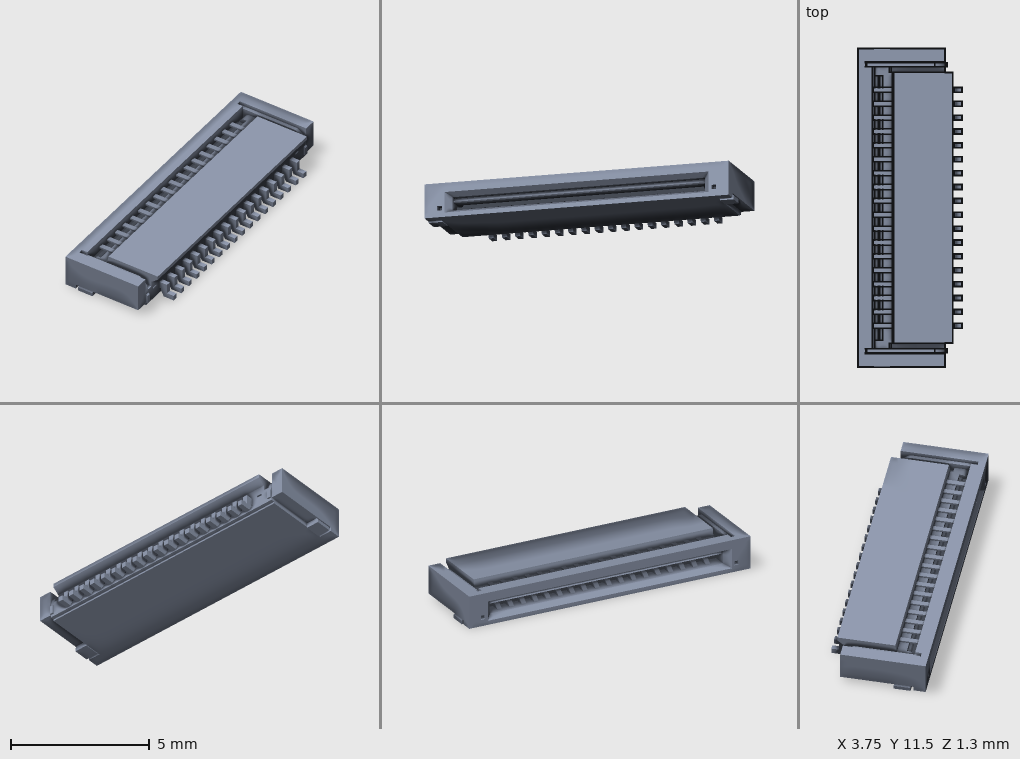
import cadquery as cq
import math

overall_length = 11.5
housing_length = 11.48
housing_depth = 3.14
housing_bottom = 0.03
housing_top = 1.3
half_length = housing_length / 2

front_wall = 0.52

relief_start = 0.45
relief_top = 0.21
relief_width = 0.51
rear_step_depth = 0.15
rear_step_top = 0.1

mouth_half_outer = 4.98
mouth_bottom_outer = 0.2
mouth_top_outer = 0.95
mouth_half = 4.76
mouth_bottom = 0.32
mouth_top = 0.82
mouth_flare = 0.29

stop_wall_start = 0.83
vent_inner = 4.54
vent_bottom = 0.56

shelf_bottom = 0.63
shelf_top = 1.0
tongue_tip = 0.38
tongue_tip_height = 0.67
tongue_underside_end = 0.45
tongue_flat_start = 0.6
tongue_top = 0.82
shelf_rise_start = 0.74
shelf_front = 0.79
shelf_strip_top = 0.87
shelf_strip_end = 0.89

channel_start = 1.13
channel_edge = 0.91
channel_flat_start = 1.2
channel_flat_floor = 0.84
channel_flat_end = 1.4
channel_slope_end = 2.12
channel_floor = 0.74

cover_half = 4.88
cover_foot = 1.23
cover_front = 1.29
cover_rear = 3.42
cover_lip_bottom = 1.15
cover_slope_bottom = 0.94

contact_count = 18
contact_span = 8.5
contact_pitch = contact_span / (contact_count - 1)
contact_width = 0.18
lead_end = 3.75
lead_knee_front = 3.21
lead_knee_rear = 3.46
lead_top = 0.59
foot_top = 0.21
foot_start = 3.32
lower_beam_start = 0.47
lower_beam_tip = 0.64
lower_beam_top = 0.46
upper_beam_start = 0.55
upper_beam_top = 1.07

clip_slot_inner = 5.08
clip_slot_outer = 5.25
clip_slot_start = 0.28
clip_outer = 5.22
clip_start = 0.31
clip_top = 1.18
clip_bend_start = 2.77
clip_bend_middle = (3.02, 0.99)
clip_bend_bottom = 0.59
clip_end = 3.21
clip_end_top = 0.55
clip_window_bottom = 0.29
clip_window_top = 0.45
clip_nose_tip = 0.23

tab_start = 0.55
tab_end = 1.17
tab_slope_bottom = 0.14
tab_slope_width = 0.06


def box(x0, x1, y0, y1, z0, z1):
    """Block between two opposite corners."""
    return cq.Workplane("XY").box(x1 - x0, y1 - y0, z1 - z0, centered=False).translate((x0, y0, z0))


def centred_box(x0, x1, half_width, z0, z1):
    """Block symmetric about the XZ plane."""
    return box(x0, x1, -half_width, half_width, z0, z1)


def side_sketch(y1):
    """Plane for X-Z outlines; a positive extrusion runs from y1 toward -Y."""
    return cq.Workplane("XZ", origin=(0, y1, 0))


def side_profile(points, y0, y1):
    """Straight-sided X-Z outline extruded from y0 to y1."""
    return side_sketch(y1).polyline(points).close().extrude(y1 - y0)


def both_ends(solid):
    """A +Y end feature together with its mirror image."""
    return solid.union(solid.mirror("XZ"))


def make_mouth():
    outer_height = mouth_top_outer - mouth_bottom_outer
    outer_centre = (mouth_top_outer + mouth_bottom_outer) / 2
    inner_height = mouth_top - mouth_bottom
    inner_centre = (mouth_top + mouth_bottom) / 2
    flare = (
        cq.Workplane("YZ")
        .center(0, outer_centre)
        .rect(2 * mouth_half_outer, outer_height)
        .workplane(offset=mouth_flare)
        .center(0, inner_centre - outer_centre)
        .rect(2 * mouth_half, inner_height)
        .loft()
    )
    return flare.union(centred_box(0, front_wall, mouth_half, mouth_bottom, mouth_top))


def make_housing():
    body = centred_box(0, housing_depth, half_length, housing_bottom, housing_top)
    top_opening = centred_box(front_wall, housing_depth, clip_slot_inner, mouth_bottom, housing_top)
    relief_inner = half_length - relief_width
    relief = box(relief_start, housing_depth, relief_inner, half_length, housing_bottom, relief_top)
    rear_step_start = housing_depth - rear_step_depth
    rear_step = centred_box(rear_step_start, housing_depth, half_length, housing_bottom, rear_step_top)
    return body.cut(top_opening).cut(make_mouth()).cut(both_ends(relief)).cut(rear_step)


def make_shelf():
    return side_profile(
        [
            (tongue_underside_end, shelf_bottom),
            (tongue_tip, tongue_tip_height),
            (tongue_flat_start, tongue_top),
            (shelf_rise_start, tongue_top),
            (shelf_front, shelf_strip_top),
            (shelf_strip_end, shelf_strip_top),
            (shelf_strip_end, shelf_top),
            (housing_depth, shelf_top),
            (housing_depth, shelf_bottom),
        ],
        -mouth_half,
        mouth_half,
    )


def make_stop_wall():
    full_height = centred_box(stop_wall_start, housing_depth, vent_inner, mouth_bottom, shelf_bottom)
    below_vents = centred_box(stop_wall_start, housing_depth, mouth_half, mouth_bottom, vent_bottom)
    return full_height.union(below_vents)


def make_shelf_ends():
    """Walls that close the cable space at each end, with a quarter-round drop to the tongue."""
    end_round = shelf_top - tongue_top
    round_start = shelf_front - end_round
    tongue_slope = (tongue_top - tongue_tip_height) / (tongue_flat_start - tongue_tip)
    wall_height = tongue_top - tongue_slope * (tongue_flat_start - front_wall)
    half_chord = math.sqrt(0.5)
    round_middle = (shelf_front - end_round * half_chord, tongue_top + end_round * half_chord)
    wall = (
        side_sketch(clip_slot_inner)
        .moveTo(front_wall, mouth_bottom)
        .lineTo(front_wall, wall_height)
        .lineTo(tongue_flat_start, tongue_top)
        .lineTo(round_start, tongue_top)
        .threePointArc(round_middle, (shelf_front, shelf_top))
        .lineTo(housing_depth, shelf_top)
        .lineTo(housing_depth, mouth_bottom)
        .close()
        .extrude(clip_slot_inner - mouth_half)
    )
    return both_ends(wall)


def make_side_channels():
    channel = side_profile(
        [
            (channel_start, shelf_top),
            (channel_start, channel_edge),
            (channel_flat_start, channel_flat_floor),
            (channel_flat_end, channel_flat_floor),
            (channel_slope_end, channel_floor),
            (housing_depth, channel_floor),
            (housing_depth, shelf_top),
        ],
        cover_half,
        clip_slot_inner,
    )
    return both_ends(channel)


def make_clip_slots():
    slot = box(clip_slot_start, housing_depth, clip_slot_inner, clip_slot_outer, relief_top, housing_top)
    window = box(0, clip_slot_start, clip_slot_inner, clip_slot_outer, clip_window_bottom, clip_window_top)
    return both_ends(slot.union(window))


def make_clips():
    nose_middle = (clip_window_bottom + clip_window_top) / 2
    blade = (
        side_sketch(clip_outer)
        .moveTo(clip_start, relief_top)
        .lineTo(clip_start, clip_window_bottom)
        .threePointArc((clip_nose_tip, nose_middle), (clip_start, clip_window_top))
        .lineTo(clip_start, clip_top)
        .lineTo(clip_bend_start, clip_top)
        .threePointArc(clip_bend_middle, (housing_depth, clip_bend_bottom))
        .lineTo(clip_end, clip_end_top)
        .lineTo(clip_end, relief_top)
        .close()
        .extrude(clip_outer - clip_slot_inner)
    )
    return both_ends(blade)


def make_tabs():
    tab_inner = half_length - relief_width
    tab_outer = overall_length / 2
    tab = (
        cq.Workplane("YZ", origin=(tab_start, 0, 0))
        .polyline(
            [
                (tab_inner, 0),
                (tab_outer, 0),
                (tab_outer, tab_slope_bottom),
                (tab_outer - tab_slope_width, relief_top),
                (tab_inner, relief_top),
            ]
        )
        .close()
        .extrude(tab_end - tab_start)
    )
    return both_ends(tab)


def make_cover():
    return side_profile(
        [
            (cover_foot, shelf_top),
            (cover_front, housing_top),
            (cover_rear, housing_top),
            (cover_rear, cover_lip_bottom),
            (housing_depth, cover_slope_bottom),
            (cover_foot, cover_slope_bottom),
        ],
        -cover_half,
        cover_half,
    )


def make_contact(y_centre):
    y0 = y_centre - contact_width / 2
    y1 = y_centre + contact_width / 2
    lead = side_profile(
        [
            (lower_beam_start, mouth_bottom),
            (lower_beam_tip, lower_beam_top),
            (stop_wall_start, lower_beam_top),
            (stop_wall_start, lead_top),
            (lead_knee_rear, lead_top),
            (lead_knee_rear, foot_top),
            (lead_end, foot_top),
            (lead_end, 0),
            (foot_start, 0),
            (lead_knee_front, foot_top),
            (lead_knee_front, mouth_bottom),
        ],
        y0,
        y1,
    )
    upper_beam = box(upper_beam_start, cover_front, y0, y1, shelf_top, upper_beam_top)
    return lead.union(upper_beam)


result = (
    make_housing()
    .union(make_shelf())
    .union(make_stop_wall())
    .union(make_shelf_ends())
    .cut(make_side_channels())
    .union(make_cover())
    .cut(make_clip_slots())
    .union(make_clips())
    .union(make_tabs())
)
for index in range(contact_count):
    result = result.union(make_contact(index * contact_pitch - contact_span / 2))